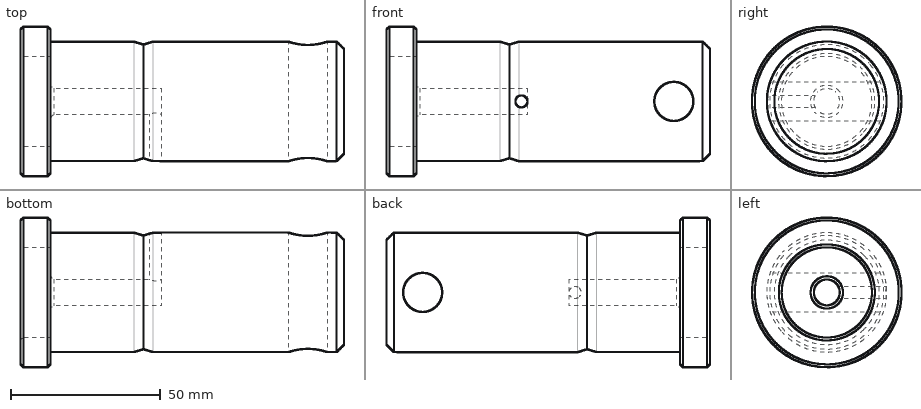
import cadquery as cq

length = 108.0
head_diameter = 50.0
head_thickness = 10.0
shank_diameter = 40.0
edge_chamfer = 1.0
end_chamfer = 2.5

groove_center = 41.0
groove_half_width = 3.1
groove_depth = 1.0

recess_diameter = 30.1
recess_depth = 10.0
bore_diameter = 8.6
bore_chamfer = 1.1

feed_hole_diameter = 4.0
feed_hole_x = 45.0
cross_hole_diameter = 13.0
cross_hole_x = 95.9

head_radius = head_diameter / 2
shank_radius = shank_diameter / 2
recess_radius = recess_diameter / 2
bore_radius = bore_diameter / 2
bore_end = feed_hole_x + feed_hole_diameter / 2


def make_body():
    """Revolve the outer half profile, given as (X, radius) points."""
    profile = [
        (0, 0),
        (0, head_radius - edge_chamfer),
        (edge_chamfer, head_radius),
        (head_thickness - edge_chamfer, head_radius),
        (head_thickness, head_radius - edge_chamfer),
        (head_thickness, shank_radius),
        (groove_center - groove_half_width, shank_radius),
        (groove_center, shank_radius - groove_depth),
        (groove_center + groove_half_width, shank_radius),
        (length - end_chamfer, shank_radius),
        (length, shank_radius - end_chamfer),
        (length, 0),
    ]
    return cq.Workplane("XY").polyline(profile).close().revolve(360, (0, 0, 0), (1, 0, 0))


def make_axial_cavity():
    """Revolve the recess and the blind bore, each with a chamfered mouth."""
    profile = [
        (0, 0),
        (0, recess_radius + edge_chamfer),
        (edge_chamfer, recess_radius),
        (recess_depth, recess_radius),
        (recess_depth, bore_radius + bore_chamfer),
        (recess_depth + bore_chamfer, bore_radius),
        (bore_end, bore_radius),
        (bore_end, 0),
    ]
    return cq.Workplane("XY").polyline(profile).close().revolve(360, (0, 0, 0), (1, 0, 0))


def make_feed_hole():
    """Hole from the -Y side of the shank to the axial bore."""
    return (
        cq.Workplane("XZ")
        .center(feed_hole_x, 0)
        .circle(feed_hole_diameter / 2)
        .extrude(shank_diameter)
    )


def make_cross_hole():
    """Hole straight through the shank near its plain end."""
    return (
        cq.Workplane("XZ")
        .center(cross_hole_x, 0)
        .circle(cross_hole_diameter / 2)
        .extrude(shank_diameter, both=True)
    )


result = (
    make_body()
    .cut(make_axial_cavity())
    .cut(make_feed_hole())
    .cut(make_cross_hole())
)